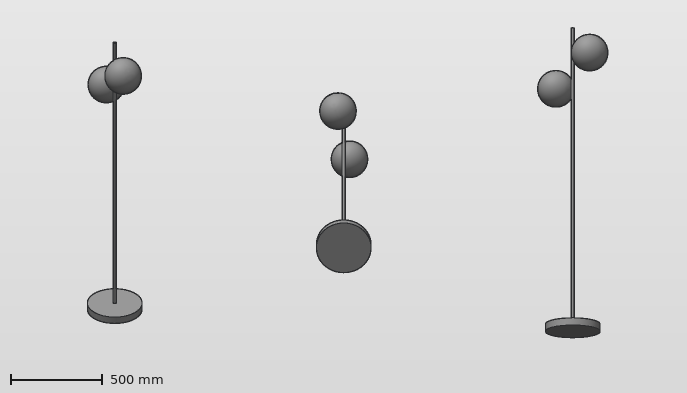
import cadquery as cq

TOTAL_HEIGHT = 1700.0
BASE_DIAMETER = 300.0
BASE_HEIGHT = 40.0
POLE_JOINT_HEIGHT = 719.0

OVERALL_WIDTH = 418.0
GLOBE_DIAMETER = 200.0
LEFT_GLOBE_HEIGHT = 1374.0
RIGHT_GLOBE_HEIGHT = 1549.0

pole_diameter = OVERALL_WIDTH - 2 * GLOBE_DIAMETER
globe_offset = (pole_diameter + GLOBE_DIAMETER) / 2


def make_upright_cylinder(diameter, bottom, top):
    """Cylinder on the Z axis between two heights."""
    return cq.Workplane("XY").workplane(offset=bottom).circle(diameter / 2).extrude(top - bottom)


def make_stand():
    """Base disc and pole as one solid; the edge where the pole lengths meet is kept."""
    base = make_upright_cylinder(BASE_DIAMETER, 0, BASE_HEIGHT)
    lower_pole = make_upright_cylinder(pole_diameter, BASE_HEIGHT, POLE_JOINT_HEIGHT)
    upper_pole = make_upright_cylinder(pole_diameter, POLE_JOINT_HEIGHT, TOTAL_HEIGHT)
    return base.union(lower_pole, clean=False).union(upper_pole, clean=False).solids()


def make_globe(side, height):
    """Sphere on the given side of the pole (-1 for -X, +1 for +X)."""
    globe = cq.Workplane("XY").sphere(GLOBE_DIAMETER / 2)
    return globe.translate((side * globe_offset, 0, height))


stand = make_stand()
globes = [
    make_globe(side, height)
    for side, height in [(-1, LEFT_GLOBE_HEIGHT), (1, RIGHT_GLOBE_HEIGHT)]
]

result = cq.Compound.makeCompound([stand.val(), *[globe.val() for globe in globes]])